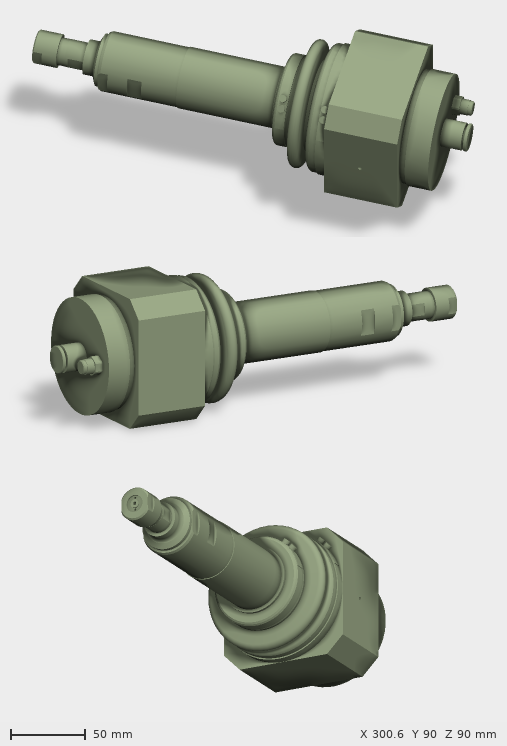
import cadquery as cq
import math

overall_length = 300.63
body_width = 90.0
body_radius = body_width / 2
body_corner_chamfer = 12.0

tip_radius = 11.5
tip_end = 16.7
tip_face_radius = 10.4
tip_chamfer_length = 1.0
tip_flat_width = 20.0
tip_flat_end = 6.8
neck_radius = 9.5
neck_relief_radius = 9.4
neck_relief_end = 22.2
neck_flat_width = 17.0
neck_flat_start = 24.3
neck_flat_end = 34.6
collar_radius = 12.0
collar_start = 35.3
collar_end = 43.2
collar_fillet = 2.3

cap_root_radius = collar_radius + collar_fillet
cap_radius = 18.0
cap_cone_end = 45.0
cap_end = 47.8
barrel_shoulder_radius = 19.6
front_barrel_start = 49.6
front_barrel_radius = 20.5
front_barrel_end = 102.8
rear_barrel_radius = 21.0
barrel_flat_width = 37.0
end_flat_end = 54.8
wrench_flat_start = 68.4
wrench_flat_end = 78.3

washer_start = 169.6
washer_radius = 23.2
ring_start = 171.6
ring_radius = 31.5
ring_chamfer = 2.0
ring_chamfer_step = 0.8
ring_end = 180.4
ring_groove_radius = 30.6
ring_groove_end = 182.0

crest_radius = 44.0
crest_x = 188.8
crest_rounding = 3.8
crest_flank_angle = 8.5
flange_groove_end = 196.4
flange_radius = 44.0
flange_root_radius = 34.0
flange_shoulder_radius = 40.5
flange_shoulder_x = 197.8
flange_rim_start = 200.7

body_ring_start = 205.4
body_ring_radius = 44.9
body_start = 212.0
body_end = 262.7
spacer_radius = 39.0
spacer_end = 266.5
disc_radius = 40.0
disc_end = 282.6
stub_radius = 9.5
stub_groove_start = 296.9
stub_groove_end = 298.2
stub_groove_radius = 6.6
stub_end_chamfer = 0.4

connector_y = 25.0
connector_hex_width = 12.0
connector_hex_corner_diameter = 13.2
connector_hex_end = 288.0
connector_radius = 10.6 / 2
connector_sleeve_end = 293.3
connector_nose_radius = 9.9 / 2
connector_end = 296.1
connector_end_chamfer = 0.6

screw_recess_diameter = 12.0
screw_recess_depth = 1.0
screw_head_diameter = 6.0
screw_hole_diameter = 2.5
screw_hole_depth = 2.5
spanner_hole_diameter = 1.6
spanner_hole_offset = 4.2
body_hole_diameter = 2.5
body_hole_x = 236.8
body_hole_depth = 3.0

pad_height = 0.4
pad_edge_margin = 0.3
ring_pad_angles = (11.0, 44.0)
body_pad_angles = (20.8, 41.5)
boss_diameter = 5.0
boss_height = 3.0
boss_pitch = 6.6
boss_center_angle = 45.0
boss_embedding = 2.0


def cylinder(start, end, radius, y=0.0, z=0.0):
    """Cylinder along X between two X positions."""
    return cq.Workplane("YZ", origin=(start, y, z)).circle(radius).extrude(end - start)


def turned_parts():
    """All features concentric with the X axis, as one revolved outline."""
    shaft = (
        cq.Workplane("XY")
        .moveTo(0, 0)
        .lineTo(0, tip_face_radius)
        .lineTo(tip_chamfer_length, tip_radius)
        .lineTo(tip_end, tip_radius)
        .lineTo(tip_end, neck_relief_radius)
        .lineTo(neck_relief_end, neck_relief_radius)
        .lineTo(neck_relief_end, neck_radius)
        .lineTo(collar_start, neck_radius)
        .lineTo(collar_start, collar_radius)
        .lineTo(collar_end - collar_fillet, collar_radius)
        .tangentArcPoint((collar_end, cap_root_radius), relative=False)
        .lineTo(cap_cone_end, cap_radius)
        .lineTo(cap_end, cap_radius)
        .lineTo(cap_end, barrel_shoulder_radius)
        .lineTo(front_barrel_start, front_barrel_radius)
        .lineTo(front_barrel_end, front_barrel_radius)
        .lineTo(front_barrel_end, rear_barrel_radius)
        .lineTo(washer_start, rear_barrel_radius)
        .lineTo(washer_start, washer_radius)
        .lineTo(ring_start, washer_radius)
    )
    flank = math.radians(crest_flank_angle)
    flank_top_offset = crest_rounding * math.cos(flank)
    flank_top_radius = crest_radius - crest_rounding * (1 - math.sin(flank))
    flank_foot_offset = flank_top_offset + (flank_top_radius - ring_radius) * math.tan(flank)
    collars = (
        shaft
        .lineTo(ring_start, ring_radius - ring_chamfer)
        .lineTo(ring_start + ring_chamfer_step, ring_radius - ring_chamfer_step)
        .lineTo(ring_start + ring_chamfer, ring_radius)
        .lineTo(ring_end, ring_radius)
        .lineTo(ring_end, ring_groove_radius)
        .lineTo(ring_groove_end, ring_radius)
        .lineTo(crest_x - flank_foot_offset, ring_radius)
        .lineTo(crest_x - flank_top_offset, flank_top_radius)
        .threePointArc((crest_x, crest_radius), (crest_x + flank_top_offset, flank_top_radius))
        .lineTo(crest_x + flank_foot_offset, ring_radius)
        .lineTo(flange_groove_end, ring_radius)
        .lineTo(flange_groove_end, flange_root_radius)
        .lineTo(flange_shoulder_x, flange_shoulder_radius)
        .tangentArcPoint((flange_rim_start, flange_radius), relative=False)
        .lineTo(body_ring_start, flange_radius)
        .lineTo(body_ring_start, body_ring_radius)
        .lineTo(body_end, body_ring_radius)
    )
    outline = (
        collars
        .lineTo(body_end, spacer_radius)
        .lineTo(spacer_end, spacer_radius)
        .lineTo(spacer_end, disc_radius)
        .lineTo(disc_end, disc_radius)
        .lineTo(disc_end, stub_radius)
        .lineTo(stub_groove_start, stub_radius)
        .lineTo(stub_groove_start, stub_groove_radius)
        .lineTo(stub_groove_end, stub_groove_radius)
        .lineTo(stub_groove_end, stub_radius - stub_end_chamfer)
        .lineTo(stub_groove_end + stub_end_chamfer, stub_radius)
        .lineTo(overall_length - stub_end_chamfer, stub_radius)
        .lineTo(overall_length, stub_radius - stub_end_chamfer)
        .lineTo(overall_length, 0)
        .close()
    )
    return outline.revolve(360, (0, 0, 0), (1, 0, 0))


def square_body():
    """Square body with chamfered long edges."""
    block = cq.Workplane("YZ", origin=(body_start, 0, 0)).rect(body_width, body_width)
    return block.extrude(body_end - body_start).edges("|X").chamfer(body_corner_chamfer)


def connector():
    """Hexagon with rounded corners, sleeve and nose of the connector on the rear disc."""
    full_corner_diameter = connector_hex_width / math.cos(math.radians(30))
    hexagon = (
        cq.Workplane("YZ", origin=(disc_end, connector_y, 0))
        .transformed(rotate=(0, 0, 90))
        .polygon(6, full_corner_diameter)
        .extrude(connector_hex_end - disc_end)
    )
    corner_radius = connector_hex_corner_diameter / 2
    hexagon = hexagon.intersect(cylinder(disc_end, connector_hex_end, corner_radius, connector_y))
    sleeve = cylinder(connector_hex_end, connector_sleeve_end, connector_radius, connector_y)
    nose = cylinder(connector_sleeve_end, connector_end, connector_nose_radius, connector_y)
    nose = nose.faces(">X").chamfer(connector_end_chamfer)
    return hexagon.union(sleeve).union(nose)


def flat_cutter(start, end, width, side):
    """Block that leaves a flat on the -Y (side = -1) or +Y (side = 1) face."""
    length = end - start
    center = ((start + end) / 2, side * (width / 2 + body_radius / 2), 0)
    return cq.Workplane("XY").box(length, body_radius, body_width).translate(center)


def polar_point(radius, angle):
    """(Y, Z) point at an angle measured from -Y toward +Z."""
    radians = math.radians(angle)
    return (-radius * math.cos(radians), radius * math.sin(radians))


def label_pad(start, end, radius, angles):
    """Thin curved pad raised from a cylinder over a range of angles."""
    first, last = angles
    middle = (first + last) / 2
    inner = radius - pad_height
    outer = radius + pad_height
    return (
        cq.Workplane("YZ", origin=(start, 0, 0))
        .moveTo(*polar_point(inner, first))
        .lineTo(*polar_point(outer, first))
        .threePointArc(polar_point(outer, middle), polar_point(outer, last))
        .lineTo(*polar_point(inner, last))
        .threePointArc(polar_point(inner, middle), polar_point(inner, first))
        .close()
        .extrude(end - start)
    )


def index_bosses(x, radius):
    """Two round bosses standing radially on a cylinder, side by side."""
    half_angle = math.degrees(boss_pitch / 2 / radius)
    bosses = cq.Workplane("XY")
    for angle in (boss_center_angle - half_angle, boss_center_angle + half_angle):
        y, z = polar_point(radius - boss_embedding, angle)
        direction_y, direction_z = polar_point(1, angle)
        axis = cq.Plane(origin=(x, y, z), xDir=(1, 0, 0), normal=(0, direction_y, direction_z))
        boss = cq.Workplane(axis).circle(boss_diameter / 2).extrude(boss_embedding + boss_height)
        bosses = bosses.add(boss)
    return bosses.combine()


def marked_band(start, end, radius, pad_angles):
    """Label pad and index bosses of one cylindrical band."""
    pad = label_pad(start + pad_edge_margin, end - pad_edge_margin, radius, pad_angles)
    return pad.union(index_bosses((start + end) / 2, radius))


def tip_recess():
    """Round recess in the tip around a screw head with a centre hole and two spanner holes."""
    recess = cylinder(0, screw_recess_depth, screw_recess_diameter / 2)
    recess = recess.cut(cylinder(0, screw_recess_depth, screw_head_diameter / 2))
    recess = recess.union(cylinder(0, screw_hole_depth, screw_hole_diameter / 2))
    for z in (-spanner_hole_offset, spanner_hole_offset):
        recess = recess.union(cylinder(0, screw_hole_depth, spanner_hole_diameter / 2, 0, z))
    return recess


def body_hole():
    """Small blind hole in the -Y face of the body."""
    entry = cq.Workplane("XZ", origin=(body_hole_x, -body_radius, 0))
    return entry.circle(body_hole_diameter / 2).extrude(-body_hole_depth)


result = turned_parts().union(square_body()).union(connector())
result = result.union(marked_band(ring_start + ring_chamfer, ring_end, ring_radius, ring_pad_angles))
result = result.union(marked_band(body_ring_start, body_start, body_ring_radius, body_pad_angles))

flats = (
    (0, tip_flat_end, tip_flat_width),
    (neck_flat_start, neck_flat_end, neck_flat_width),
    (cap_end, end_flat_end, barrel_flat_width),
    (wrench_flat_start, wrench_flat_end, barrel_flat_width),
)
for flat_start, flat_end, flat_width in flats:
    for flat_side in (-1, 1):
        result = result.cut(flat_cutter(flat_start, flat_end, flat_width, flat_side))

result = result.cut(tip_recess()).cut(body_hole())